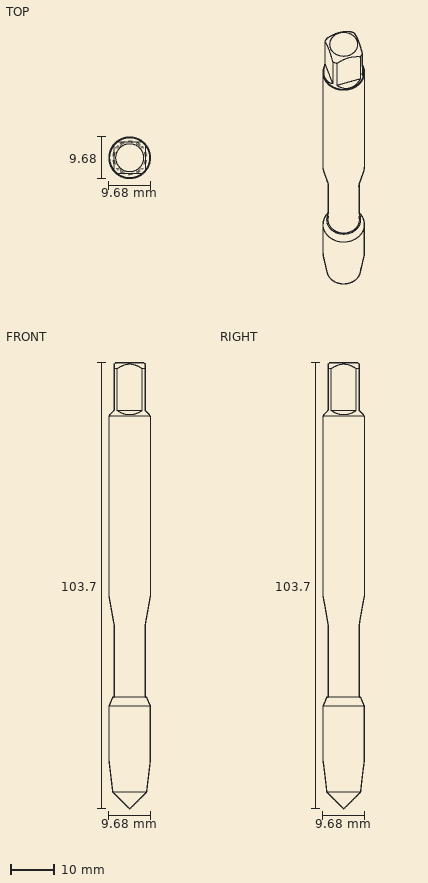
import cadquery as cq
import math

overall_length = 103.69

shank_diameter = 9.68
shank_end = overall_length - 12.45
shank_start = overall_length - 54.2

square_across_flats = 7.26
square_corner_diameter = 9.29
square_length = 11.11
runout_angle = 45
end_face_diameter = 6.5
end_chamfer_angle = 45

neck_diameter = 7.26
neck_top = overall_length - 61.0

head_diameter = 9.64
head_length = 25.97
back_diameter = 7.9
back_chamfer_length = 2.05
lead_length = 7.25
point_length = 3.9
point_diameter = 7.9


def revolve_outline(outline):
    """Turn a list of (radius, height) points around the Z axis."""
    return cq.Workplane("XZ").polyline(outline).close().revolve(360, (0, 0), (0, 1))


def make_flat_cutter():
    """Block that mills the +X flat of the square, with a sloping run-out at its foot."""
    flat_distance = square_across_flats / 2
    reach = shank_diameter
    foot = overall_length - square_length
    runout_drop = (reach - flat_distance) / math.tan(math.radians(runout_angle))
    outline = [
        (flat_distance, overall_length),
        (flat_distance, foot),
        (reach, foot - runout_drop),
        (reach, overall_length),
    ]
    return cq.Workplane("XZ").polyline(outline).close().extrude(shank_diameter, both=True)


def make_shank():
    """Driving square, shank and neck, ending on the back of the cutting head."""
    corner_radius = square_corner_diameter / 2
    end_face_radius = end_face_diameter / 2
    chamfer_height = (corner_radius - end_face_radius) * math.tan(math.radians(end_chamfer_angle))
    shank = revolve_outline([
        (0, head_length),
        (neck_diameter / 2, head_length),
        (neck_diameter / 2, neck_top),
        (shank_diameter / 2, shank_start),
        (shank_diameter / 2, shank_end),
        (corner_radius, shank_end),
        (corner_radius, overall_length - chamfer_height),
        (end_face_radius, overall_length),
        (0, overall_length),
    ])
    cutter = make_flat_cutter()
    for quarter in range(4):
        shank = shank.cut(cutter.rotate((0, 0, 0), (0, 0, 1), 90 * quarter))
    return shank


def make_cutting_head():
    """Cylinder with a chamfered back, a tapered lead and a conical point."""
    return revolve_outline([
        (0, 0),
        (point_diameter / 2, point_length),
        (head_diameter / 2, point_length + lead_length),
        (head_diameter / 2, head_length - back_chamfer_length),
        (back_diameter / 2, head_length),
        (0, head_length),
    ])


shank = make_shank()
cutting_head = make_cutting_head()

result = cq.Compound.makeCompound([shank.val(), cutting_head.val()])